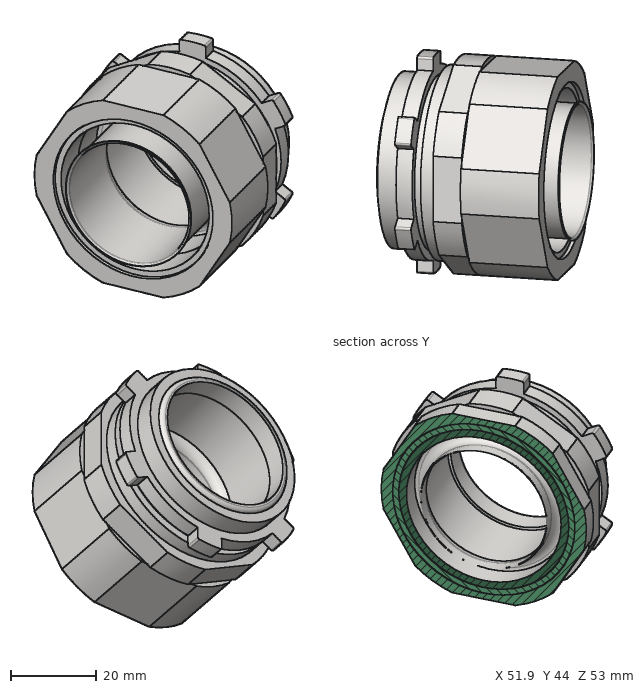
import cadquery as cq
import math


nut_front = 2.6
nut_back = 21.55
hex_back = 28.5
gasket_back = 31.95
locknut_front = 33.95
locknut_back = 37.85
body_back = 42.95
bushing_back = 44.0

hex_flats = 49.35
hex_corners = 51.85

nut_mouth_diameter = 41.9
nut_lip = 1.0
nut_bore_diameter = 45.8

seal_bore_diameter = 38.85
seal_length = 9.0

ferrule_tube_diameter = 32.0
ferrule_wall = 0.25
trough_radius = 2.65
collar_diameter = 43.0
lip_diameter = 32.9
lip_bend_radius = 0.3
ferrule_seat = 22.6

thread_diameter = 41.9
body_bore_diameter = 35.0
gasket_diameter = 46.35
bushing_diameter = 36.95
bushing_bore_diameter = 33.5
bushing_length = 5.3
bushing_rounding = 1.1

locknut_ring_diameter = 46.5
locknut_tab_diameter = 52.95
tab_count = 6
tab_width = 7.0
tab_corner_radius = 0.55

seal_front = nut_front + nut_lip
seal_back = seal_front + seal_length
ferrule_bore_diameter = ferrule_tube_diameter - 2 * ferrule_wall


def cylinder(diameter, front, back):
    """Solid cylinder on the Y axis between two stations."""
    return cq.Workplane("XZ", origin=(0, front, 0)).circle(diameter / 2).extrude(front - back)


def ring(outer_diameter, inner_diameter, front, back):
    """Plain tube on the Y axis between two stations."""
    return cylinder(outer_diameter, front, back).cut(cylinder(inner_diameter, front, back))


def rounded_hexagon(front, back, turn):
    """Hexagonal prism whose corners are turned down to a circle."""
    prism = (
        cq.Workplane("XZ", origin=(0, front, 0))
        .polygon(6, hex_flats, circumscribed=True)
        .extrude(front - back)
        .rotate((0, 0, 0), (0, 1, 0), turn)
    )
    return prism.intersect(cylinder(hex_corners, front, back))


def make_nut():
    """Hexagonal nut with flats facing up and down and a lip around its mouth."""
    nut = rounded_hexagon(nut_front, nut_back, 30)
    nut = nut.cut(cylinder(nut_mouth_diameter, nut_front, nut_back))
    return nut.cut(cylinder(nut_bore_diameter, seal_front, nut_back))


def make_seal():
    """Sealing ring held behind the lip of the nut."""
    return ring(nut_bore_diameter, seal_bore_diameter, seal_front, seal_back)


def make_ferrule():
    """Thin tube with a flared lip in front and a rounded trough leading to an outer collar."""
    bore = ferrule_bore_diameter / 2
    tube = ferrule_tube_diameter / 2
    lip = lip_diameter / 2
    collar_bore = seal_bore_diameter / 2
    collar = collar_diameter / 2
    trough_center = tube + trough_radius
    trough_start = ferrule_seat - ferrule_wall - trough_radius
    collar_bore_end = trough_start + math.sqrt(trough_radius**2 - (collar_bore - trough_center) ** 2)
    lip_corner = tube + lip_bend_radius
    lip_bend_end = ferrule_wall + lip_bend_radius
    diagonal = math.sqrt(0.5)

    def bend_middle(center_radius, center_station, radius, direction):
        """Middle of a quarter bend on the side of the bend that faces the axis."""
        return (center_radius - radius * diagonal, center_station + direction * radius * diagonal)

    profile = (
        cq.Workplane("XY")
        .moveTo(lip, 0)
        .lineTo(lip, ferrule_wall)
        .lineTo(lip_corner, ferrule_wall)
        .threePointArc(bend_middle(lip_corner, lip_bend_end, lip_bend_radius, -1), (tube, lip_bend_end))
        .lineTo(tube, trough_start)
        .threePointArc(
            bend_middle(trough_center, trough_start, trough_radius, 1), (collar_bore, collar_bore_end)
        )
        .lineTo(collar_bore, seal_back)
        .lineTo(collar, seal_back)
        .lineTo(collar, ferrule_seat)
        .lineTo(trough_center, ferrule_seat)
        .threePointArc(
            bend_middle(trough_center, trough_start, trough_radius + ferrule_wall, 1), (bore, trough_start)
        )
        .lineTo(bore, lip_bend_end)
        .threePointArc(
            bend_middle(lip_corner, lip_bend_end, lip_bend_radius + ferrule_wall, -1), (lip_corner, 0)
        )
        .close()
    )
    return profile.revolve(360, (0, 0, 0), (0, 1, 0))


def make_body():
    """Hexagonal body with a spigot inside the nut and a threaded end for the locknut."""
    body = rounded_hexagon(nut_back, hex_back, 0)
    body = body.union(cylinder(nut_bore_diameter, seal_back, nut_back))
    body = body.union(cylinder(thread_diameter, hex_back, body_back))
    body = body.cut(cylinder(collar_diameter, seal_back, ferrule_seat))
    body = body.cut(cylinder(body_bore_diameter, ferrule_seat, body_back))
    return body.cut(cylinder(bushing_diameter, bushing_back - bushing_length, body_back))


def make_gasket():
    """Flat gasket against the back of the body's hexagon."""
    return ring(gasket_diameter, thread_diameter, hex_back, gasket_back)


def make_locknut():
    """Ring with evenly spaced tabs, made as bars that each carry two opposite tabs."""
    thickness = locknut_back - locknut_front
    bar = (
        cq.Workplane("XY")
        .box(tab_width, thickness, locknut_tab_diameter * 2)
        .translate((0, (locknut_front + locknut_back) / 2, 0))
    )
    tabs = bar.intersect(cylinder(locknut_tab_diameter, locknut_front, locknut_back))
    tabs = tabs.edges("|Y").fillet(tab_corner_radius)
    locknut = cylinder(locknut_ring_diameter, locknut_front, locknut_back)
    for pair in range(tab_count // 2):
        locknut = locknut.union(tabs.rotate((0, 0, 0), (0, 1, 0), pair * 360 / tab_count))
    return locknut.cut(cylinder(thread_diameter, locknut_front, locknut_back))


def make_bushing():
    """Throat bushing with a rounded end, set into the back of the body."""
    front = bushing_back - bushing_length
    bushing = cylinder(bushing_diameter, front, bushing_back)
    bushing = bushing.faces(">Y").edges().fillet(bushing_rounding)
    return bushing.cut(cylinder(bushing_bore_diameter, front, bushing_back))


nut = make_nut()
seal = make_seal()
ferrule = make_ferrule()
body = make_body()
gasket = make_gasket()
locknut = make_locknut()
bushing = make_bushing()

result = cq.Compound.makeCompound(
    [part.val() for part in (nut, seal, ferrule, body, gasket, locknut, bushing)]
)